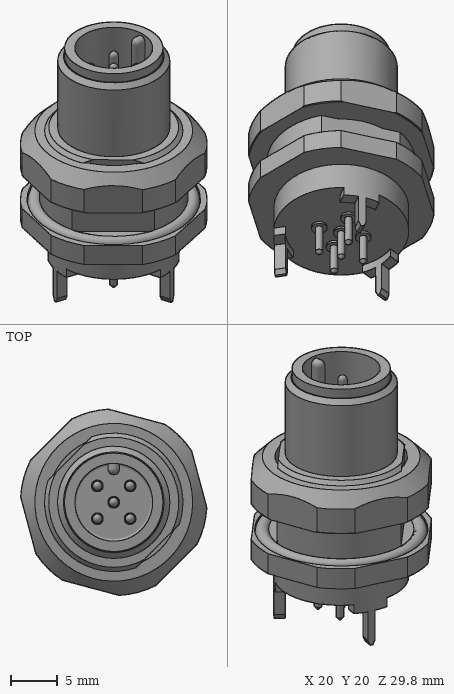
import cadquery as cq
import math

TOTAL_HEIGHT = 29.75
FOOT_Z = 4.02
BASE_Z = 5.05
FLANGE_Z = 8.33
FLANGE_TOP_Z = 10.7
NUT_Z = 14.82
NUT_TOP_Z = 19.3
BODY_TOP_Z = 19.75
SLEEVE_BEVEL_Z = 28.15
NECK_Z = 28.68

BASE_RADIUS = 7.23
THREAD_RADIUS = 7.97
BODY_TOP_RADIUS = 6.95
BODY_BEVEL = THREAD_RADIUS - BODY_TOP_RADIUS
FLAT_DISTANCE = 6.63
FLAT_DIRECTION = -45.0
SLEEVE_RADIUS = 6.0
SLEEVE_BEVEL_RADIUS = 5.38
NECK_RADIUS = 5.27

SOCKET_RADIUS = 4.16
SOCKET_FLOOR_FILLET = 0.27
SOCKET_FLOOR_Z = 21.12

KEY_RADIUS = 0.62
KEY_OFFSET = 3.57
KEY_TOP_Z = 29.45

HEX_ACROSS_FLATS = 18.98
HEX_CORNER_RADIUS = 10.0
HEX_FLAT_DIRECTION = 15.0
NUT_TOP_RADIUS = 8.45
NUT_BOTTOM_CHAMFER = 0.1
NUT_HOLE_RADIUS = 7.08

RING_RADIUS = 8.45
RING_SECTION_RADIUS = 0.77
RING_TOP_Z = 11.1
GROOVE_INNER_RADIUS = 7.85
GROOVE_OUTER_RADIUS = 9.28
GROOVE_FLOOR_Z = 9.82

PIN_OFFSET = 1.75
PIN_RADIUS = 0.5
PIN_TOP_Z = 27.73
PIN_RECESS_RADIUS = 0.62
PIN_RECESS_DEPTH = 0.3
TAIL_RADIUS = 0.42
TAIL_END_Z = 1.52
TAIL_TIP_Z = 1.13
TAIL_TIP_RADIUS = 0.05
COLLAR_RADIUS = 0.83
COLLAR_HEIGHT = 0.27

LEG_DIRECTIONS = [15.0, 135.0, 255.0]
FOOT_WIDTH = 4.0
FOOT_INNER_RADIUS = 6.0
LEG_WIDTH = 0.85
LEG_TIP_WIDTH = 0.33
LEG_TIP_HEIGHT = 0.6


def cylinder(radius, bottom, top, x=0.0, y=0.0):
    return cq.Workplane("XY", origin=(x, y, bottom)).circle(radius).extrude(top - bottom)


def revolve_profile(points):
    """Revolve a closed (radius, height) outline about the connector axis."""
    return cq.Workplane("XZ").polyline(points).close().revolve(360, (0, 0, 0), (0, 1, 0))


def rounded_hex(bottom, top):
    """Hexagonal prism with its corners turned down to a cylinder."""
    corner_diameter = HEX_ACROSS_FLATS / math.cos(math.radians(30))
    prism = cq.Workplane("XY").workplane(offset=bottom).polygon(6, corner_diameter).extrude(top - bottom)
    prism = prism.rotate((0, 0, 0), (0, 0, 1), HEX_FLAT_DIRECTION - 30)
    return prism.intersect(cylinder(HEX_CORNER_RADIUS, bottom, top))


def make_body():
    threaded = revolve_profile([
        (0, FLANGE_Z),
        (THREAD_RADIUS, FLANGE_Z),
        (THREAD_RADIUS, BODY_TOP_Z - BODY_BEVEL),
        (BODY_TOP_RADIUS, BODY_TOP_Z),
        (0, BODY_TOP_Z),
    ])
    between_flats = (
        cq.Workplane("XY", origin=(0, 0, FLANGE_Z))
        .rect(2 * FLAT_DISTANCE, 2 * THREAD_RADIUS)
        .extrude(BODY_TOP_Z - FLANGE_Z)
        .rotate((0, 0, 0), (0, 0, 1), FLAT_DIRECTION)
    )
    base = cylinder(BASE_RADIUS, BASE_Z, FLANGE_Z)
    sleeve = revolve_profile([
        (0, BODY_TOP_Z),
        (SLEEVE_RADIUS, BODY_TOP_Z),
        (SLEEVE_RADIUS, SLEEVE_BEVEL_Z),
        (SLEEVE_BEVEL_RADIUS, NECK_Z),
        (NECK_RADIUS, NECK_Z),
        (NECK_RADIUS, TOTAL_HEIGHT),
        (0, TOTAL_HEIGHT),
    ])
    socket = cylinder(SOCKET_RADIUS, SOCKET_FLOOR_Z, TOTAL_HEIGHT)
    socket = socket.faces("<Z").edges().fillet(SOCKET_FLOOR_FILLET)
    return threaded.intersect(between_flats).union(base).union(sleeve).cut(socket)


def make_flange():
    groove = cylinder(GROOVE_OUTER_RADIUS, GROOVE_FLOOR_Z, FLANGE_TOP_Z)
    groove = groove.cut(cylinder(GROOVE_INNER_RADIUS, GROOVE_FLOOR_Z, FLANGE_TOP_Z))
    return rounded_hex(FLANGE_Z, FLANGE_TOP_Z).cut(groove)


def make_nut():
    bevel = HEX_CORNER_RADIUS - NUT_TOP_RADIUS
    envelope = cylinder(HEX_CORNER_RADIUS, NUT_Z, NUT_TOP_Z).faces(">Z").chamfer(bevel)
    envelope = envelope.faces("<Z").chamfer(NUT_BOTTOM_CHAMFER)
    hole = cylinder(NUT_HOLE_RADIUS, NUT_Z, NUT_TOP_Z)
    return rounded_hex(NUT_Z, NUT_TOP_Z).intersect(envelope).cut(hole)


def make_sealing_ring():
    return (
        cq.Workplane("XZ")
        .center(RING_RADIUS, RING_TOP_Z - RING_SECTION_RADIUS)
        .circle(RING_SECTION_RADIUS)
        .revolve(360, (-RING_RADIUS, 0, 0), (-RING_RADIUS, 1, 0))
    )


def make_key():
    """Upright key on the socket wall with a rounded nose and a domed top."""
    dome_z = KEY_TOP_Z - KEY_RADIUS
    nose = cylinder(KEY_RADIUS, SOCKET_FLOOR_Z, dome_z, 0, KEY_OFFSET)
    dome = cq.Workplane("XY", origin=(0, KEY_OFFSET, dome_z)).sphere(KEY_RADIUS)
    reach = (SOCKET_RADIUS + NECK_RADIUS) / 2 - KEY_OFFSET
    web = (
        cq.Workplane("XZ", origin=(0, KEY_OFFSET, 0))
        .moveTo(-KEY_RADIUS, SOCKET_FLOOR_Z)
        .lineTo(KEY_RADIUS, SOCKET_FLOOR_Z)
        .lineTo(KEY_RADIUS, dome_z)
        .threePointArc((0, KEY_TOP_Z), (-KEY_RADIUS, dome_z))
        .close()
        .extrude(-reach)
    )
    return nose.union(dome).union(web)


def make_pin():
    """Contact pin on the axis: domed plug end, collar and pointed solder tail."""
    return (
        cq.Workplane("XZ")
        .moveTo(0, TAIL_TIP_Z)
        .lineTo(TAIL_TIP_RADIUS, TAIL_TIP_Z)
        .lineTo(TAIL_RADIUS, TAIL_END_Z)
        .lineTo(TAIL_RADIUS, BASE_Z - COLLAR_HEIGHT)
        .lineTo(COLLAR_RADIUS, BASE_Z - COLLAR_HEIGHT)
        .lineTo(COLLAR_RADIUS, BASE_Z)
        .lineTo(PIN_RADIUS, BASE_Z)
        .lineTo(PIN_RADIUS, PIN_TOP_Z - PIN_RADIUS)
        .radiusArc((0, PIN_TOP_Z), -PIN_RADIUS)
        .close()
        .revolve(360, (0, 0, 0), (0, 1, 0))
    )


def make_foot_with_leg():
    """Foot and solder leg on the +X side, both following the round base inside and outside."""
    foot = cq.Workplane("XY").box(BASE_RADIUS, FOOT_WIDTH, BASE_Z - FOOT_Z, centered=(False, True, False))
    foot = foot.translate((0, 0, FOOT_Z))
    leg = (
        cq.Workplane("YZ")
        .moveTo(-LEG_TIP_WIDTH / 2, 0)
        .lineTo(LEG_TIP_WIDTH / 2, 0)
        .lineTo(LEG_WIDTH / 2, LEG_TIP_HEIGHT)
        .lineTo(LEG_WIDTH / 2, BASE_Z)
        .lineTo(-LEG_WIDTH / 2, BASE_Z)
        .lineTo(-LEG_WIDTH / 2, LEG_TIP_HEIGHT)
        .close()
        .extrude(BASE_RADIUS)
    )
    shell = cylinder(BASE_RADIUS, 0, BASE_Z).cut(cylinder(FOOT_INNER_RADIUS, 0, BASE_Z))
    return foot.union(leg).intersect(shell)


result = make_body().union(make_flange()).union(make_nut())
result = result.union(make_sealing_ring()).union(make_key())

pin_places = [(0, 0)]
for side_x in (-1, 1):
    for side_y in (-1, 1):
        pin_places.append((side_x * PIN_OFFSET, side_y * PIN_OFFSET))

pin = make_pin()
for x, y in pin_places:
    result = result.cut(cylinder(PIN_RECESS_RADIUS, SOCKET_FLOOR_Z - PIN_RECESS_DEPTH, SOCKET_FLOOR_Z, x, y))
    result = result.union(pin.translate((x, y, 0)))

foot_with_leg = make_foot_with_leg()
for direction in LEG_DIRECTIONS:
    result = result.union(foot_with_leg.rotate((0, 0, 0), (0, 0, 1), direction))